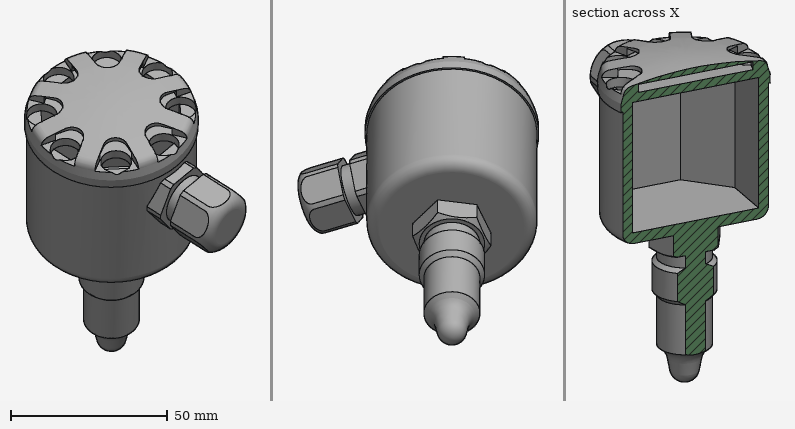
import cadquery as cq
import math

TOTAL_HEIGHT = 113.8
TOTAL_LENGTH = 77.8
HOUSING_BOTTOM = 55.8
RIM_BOTTOM = 102.7
RIM_TOP = 105.7
DECK_TOP = 108.7
LID_CEILING = 111.3

HOUSING_DIAMETER = 54.5
HOUSING_FILLET = 4.0
CAVITY_APOTHEM = 22.3
CAVITY_FLOOR = HOUSING_BOTTOM + HOUSING_FILLET
DECK_THICKNESS = 3.3

RIM_DIAMETER = 55.7
RIM_RADIUS = RIM_DIAMETER / 2
DOME_RADIUS = 121.8
DOME_EDGE_RADIUS = 24.5
DECK_RADIUS = 27.0
LID_ROOM_RADIUS = 21.9
WINDOW_COUNT = 8
WINDOW_END_RADIUS = 4.1
WINDOW_END_DISTANCE = 19.7
WINDOW_HALF_ANGLE = 180.0 / WINDOW_COUNT
WINDOW_OVERRUN = 1.1
DECK_HOLE_DIAMETER = 9.8
DECK_HOLE_DISTANCE = 22.3

GLAND_Z = 89.7
GLAND_FLATS = 20.3
GLAND_CORNER_DIAMETER = 22.4
GLAND_ROOT_X = 23.9
GLAND_NECK_X = 30.7
GLAND_NUT_X = 34.8
GLAND_END_X = TOTAL_LENGTH - RIM_RADIUS
GLAND_NECK_DIAMETER = 16.7
GLAND_END_FILLET = 4.8

HEX_FLATS = 22.0
HEX_BOTTOM = 47.9
HEX_FACE_DIAMETER = 20.9
HEX_CHAMFER_ANGLE = 35.0

SHAFT_RADIUS = 9.0
COLLAR_RADIUS = 10.5
COLLAR_TOP = 43.7
COLLAR_BOTTOM = 30.7
COLLAR_TOP_CHAMFER = 1.4
COLLAR_BOTTOM_CHAMFER = 1.7
SHAFT_END = 13.2
TIP_DIAMETER = 9.7
TIP_RADIUS = TIP_DIAMETER / 2
TIP_TAPER_ANGLE = 10.5
SHOULDER_ANGLE = 45.0
NECK_BOTTOM = 8.4
NECK_ARC_RADIUS = 6.5


def revolve_about_z(profile):
    """Turn a closed outline of (radius, Z) once around the Z axis."""
    return profile.close().revolve(360, (0, 0, 0), (0, 1, 0))


def hexagon_diameter(flats):
    """Corner-to-corner size of a hexagon with the given distance across flats."""
    return flats / math.cos(math.pi / 6)


def make_housing():
    """Round can with a rounded bottom edge."""
    can = (
        cq.Workplane("XY", origin=(0, 0, HOUSING_BOTTOM))
        .circle(HOUSING_DIAMETER / 2)
        .extrude(RIM_BOTTOM - HOUSING_BOTTOM)
    )
    return can.faces("<Z").edges().fillet(HOUSING_FILLET)


def make_lid():
    """Rimmed lid with a shallow domed roof and a rounded shoulder."""

    def dome_height(radius):
        sphere_center = TOTAL_HEIGHT - DOME_RADIUS
        return sphere_center + math.sqrt(DOME_RADIUS**2 - radius**2)

    crown_mid = DOME_EDGE_RADIUS / 2
    profile = (
        cq.Workplane("XZ")
        .moveTo(0, RIM_BOTTOM)
        .lineTo(0, TOTAL_HEIGHT)
        .threePointArc(
            (crown_mid, dome_height(crown_mid)),
            (DOME_EDGE_RADIUS, dome_height(DOME_EDGE_RADIUS)),
        )
        .tangentArcPoint((DECK_RADIUS, DECK_TOP), relative=False)
        .lineTo(RIM_RADIUS, RIM_TOP)
        .lineTo(RIM_RADIUS, RIM_BOTTOM)
    )
    return revolve_about_z(profile)


def make_lid_room():
    """Flat round space between the deck and the underside of the dome."""
    return (
        cq.Workplane("XY", origin=(0, 0, DECK_TOP))
        .circle(LID_ROOM_RADIUS)
        .extrude(LID_CEILING - DECK_TOP)
    )


def make_window_cutter():
    """Flared window above the deck and the round hole through the deck, on the +X side."""
    half_angle = math.radians(WINDOW_HALF_ANGLE)
    tangent_x = WINDOW_END_DISTANCE - WINDOW_END_RADIUS * math.sin(half_angle)
    tangent_y = WINDOW_END_RADIUS * math.cos(half_angle)
    outer_x = RIM_RADIUS + WINDOW_OVERRUN
    outer_y = tangent_y + (outer_x - tangent_x) * math.tan(half_angle)
    window = (
        cq.Workplane("XY", origin=(0, 0, DECK_TOP))
        .moveTo(outer_x, -outer_y)
        .lineTo(tangent_x, -tangent_y)
        .threePointArc((WINDOW_END_DISTANCE - WINDOW_END_RADIUS, 0), (tangent_x, tangent_y))
        .lineTo(outer_x, outer_y)
        .close()
        .extrude(TOTAL_HEIGHT - DECK_TOP)
    )
    hole = (
        cq.Workplane("XY", origin=(DECK_HOLE_DISTANCE, 0, DECK_TOP - DECK_THICKNESS))
        .circle(DECK_HOLE_DIAMETER / 2)
        .extrude(DECK_THICKNESS)
    )
    return window.union(hole)


def make_cavity():
    """Eight-sided hollow of the housing, one flat side under each window."""
    side_angle = 180.0 / WINDOW_COUNT
    corner_diameter = 2 * CAVITY_APOTHEM / math.cos(math.radians(side_angle))
    return (
        cq.Workplane("XY", origin=(0, 0, CAVITY_FLOOR))
        .polygon(WINDOW_COUNT, corner_diameter)
        .extrude(DECK_TOP - DECK_THICKNESS - CAVITY_FLOOR)
        .rotate((0, 0, 0), (0, 0, 1), side_angle)
    )


def make_gland_hexagon(start_x, end_x, end_fillet=0.0):
    """Hexagon along X with flats on top and bottom and its corners turned off round."""
    base = cq.Workplane("YZ", origin=(start_x, 0, GLAND_Z))
    hexagon = base.polygon(6, hexagon_diameter(GLAND_FLATS)).extrude(end_x - start_x)
    turned = base.circle(GLAND_CORNER_DIAMETER / 2).extrude(end_x - start_x)
    if end_fillet > 0:
        turned = turned.faces(">X").edges().fillet(end_fillet)
    return hexagon.intersect(turned)


def make_gland():
    """Hexagon base, round neck and rounded cap nut."""
    neck = (
        cq.Workplane("YZ", origin=(GLAND_ROOT_X, 0, GLAND_Z))
        .circle(GLAND_NECK_DIAMETER / 2)
        .extrude(GLAND_NUT_X - GLAND_ROOT_X)
    )
    base = make_gland_hexagon(GLAND_ROOT_X, GLAND_NECK_X)
    nut = make_gland_hexagon(GLAND_NUT_X, GLAND_END_X, GLAND_END_FILLET)
    return base.union(neck).union(nut)


def make_mounting_hexagon():
    """Hexagon under the housing, corners on the Y axis, chamfered round at the bottom."""
    corner_diameter = hexagon_diameter(HEX_FLATS)
    height = HOUSING_BOTTOM - HEX_BOTTOM
    hexagon = (
        cq.Workplane("XY", origin=(0, 0, HEX_BOTTOM))
        .polygon(6, corner_diameter)
        .extrude(height)
        .rotate((0, 0, 0), (0, 0, 1), 30)
    )
    face_radius = HEX_FACE_DIAMETER / 2
    cone_radius = face_radius + height / math.tan(math.radians(HEX_CHAMFER_ANGLE))
    cone = revolve_about_z(
        cq.Workplane("XZ")
        .moveTo(0, HEX_BOTTOM)
        .lineTo(face_radius, HEX_BOTTOM)
        .lineTo(cone_radius, HOUSING_BOTTOM)
        .lineTo(0, HOUSING_BOTTOM)
    )
    return hexagon.intersect(cone)


def make_probe():
    """Turned shaft with a collar, a waisted neck and a ball tip."""
    taper = math.radians(TIP_TAPER_ANGLE)
    shoulder = math.radians(SHOULDER_ANGLE)
    middle = (taper + shoulder) / 2

    def tip_point(angle):
        return TIP_RADIUS * math.cos(angle), TIP_RADIUS * (1 - math.sin(angle))

    ball_edge = tip_point(taper)
    ball_middle = tip_point((taper + math.pi / 2) / 2)
    neck_radius = ball_edge[0] + (NECK_BOTTOM - ball_edge[1]) * math.tan(taper)

    def neck_point(angle):
        radius = neck_radius + NECK_ARC_RADIUS * (math.cos(taper) - math.cos(angle))
        height = NECK_BOTTOM + NECK_ARC_RADIUS * (math.sin(angle) - math.sin(taper))
        return radius, height

    return revolve_about_z(
        cq.Workplane("XZ")
        .moveTo(0, 0)
        .threePointArc(ball_middle, ball_edge)
        .lineTo(neck_radius, NECK_BOTTOM)
        .threePointArc(neck_point(middle), neck_point(shoulder))
        .lineTo(SHAFT_RADIUS, SHAFT_END)
        .lineTo(SHAFT_RADIUS, COLLAR_BOTTOM)
        .lineTo(COLLAR_RADIUS, COLLAR_BOTTOM + COLLAR_BOTTOM_CHAMFER)
        .lineTo(COLLAR_RADIUS, COLLAR_TOP - COLLAR_TOP_CHAMFER)
        .lineTo(SHAFT_RADIUS, COLLAR_TOP)
        .lineTo(SHAFT_RADIUS, HEX_BOTTOM)
        .lineTo(0, HEX_BOTTOM)
    )


result = make_housing().union(make_lid())
result = result.cut(make_cavity()).cut(make_lid_room())

window_cutter = make_window_cutter()
for index in range(WINDOW_COUNT):
    angle = index * 360.0 / WINDOW_COUNT
    result = result.cut(window_cutter.rotate((0, 0, 0), (0, 0, 1), angle))

result = result.union(make_gland()).union(make_mounting_hexagon()).union(make_probe())